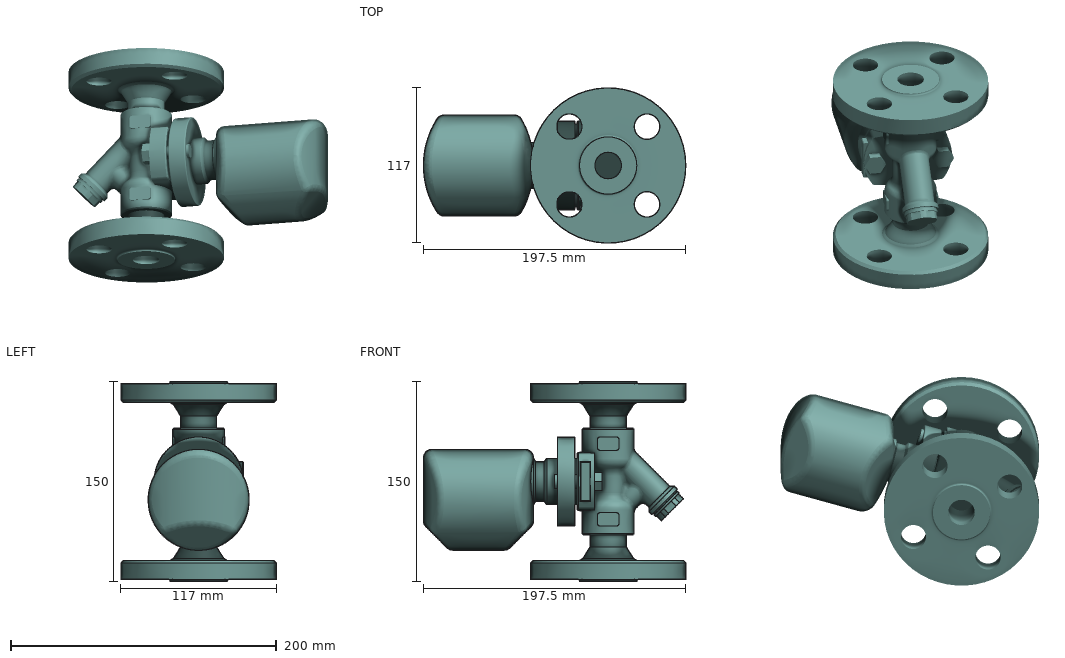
import cadquery as cq
import math


OVERALL_LENGTH = 197.5
OVERALL_HEIGHT = 150.0

FLANGE_DIA = 117.0
FLANGE_THICKNESS = 14.5
FLANGE_CHAMFER = 2.0
RAISED_FACE_DIA = 43.0
RAISED_FACE_HEIGHT = 1.4
BOLT_HOLE_DIA = 19.0
BOLT_HOLE_OFFSET = 29.2
PIPE_DIA = 27.3
WELD_NECK_DIA = 38.1
WELD_NECK_HEIGHT = 10.0
NECK_FOOT_HEIGHT = 1.4
NECK_FOOT_WIDTH = 2.4
BORE_DIA = 20.0

BODY_DIA = 39.1
BODY_HALF_HEIGHT = 40.0
BODY_CHAMFER = 1.0
WAIST_DIA = 27.0
WAIST_TOP = 4.3
WAIST_BOTTOM = -8.7
WAIST_BLEND_HEIGHT = 12.5
LABEL_WIDTH = 16.0
LABEL_HEIGHT = 9.9
LABEL_CORNER = 1.5
LABEL_FACE_Y = 19.7
LABEL_HEIGHTS = (28.5, -28.5)

BRANCH_AXIS_HEIGHT = 27.0
BRANCH_DIA = 22.3
BRANCH_CONE_START = 35.3
BRANCH_COLLAR_START = 37.7
BRANCH_COLLAR_END = 40.9
BRANCH_COLLAR_DIA = 27.3
GROOVE_END = 42.0
GROOVE_DIA = 24.0
WASHER_END = 43.8
WASHER_DIA = 25.0
PLUG_END = 49.2
PLUG_DIA = 23.5
PLUG_ACROSS_FLATS = 22.1
ELBOW_DIA = 17.8
ELBOW_AXIS_HEIGHT = -28.5
ELBOW_FILLET = 4.0
BRANCH_FILLET = 3.0
ON_SURFACE = 0.002

GLAND_X = (-23.3, -10.5)
GLAND_DIA = 67.1
GLAND_HALF_HEIGHT = 22.1
GLAND_CROWN_RADIUS = 217.2
GLAND_CORNER_FILLET = 3.0
GLAND_CHAMFER = 0.8
PAD_X = (-21.1, -13.2)
PAD_HALF_HEIGHT = 15.0
PAD_FACE_Y = -33.8
PAD_EDGE = 0.5
DISK_X = (-38.3, -25.0)
DISK_DIA = 67.0
DISK_FILLET = 0.8
HUB_X = -46.6
HUB_DIA = 35.0
STEM_DIA = 30.0
STEM_CHAMFER = 1.5
STEM_ROOT = 4.0
HUB_CHAMFER = 0.4
BONNET_BOLT_Y = 26.0
BONNET_BOLT_DIA = 10.5
BONNET_BOLT_X = -40.3
HEX_END_X = -4.5
HEX_ACROSS_FLATS = 13.8

HOUSING_DIA = 76.0
HOUSING_AXIS_Z = -13.8
HOUSING_LENGTH = 83.0
HOUSING_LEFT = FLANGE_DIA / 2 - OVERALL_LENGTH
HOUSING_RIGHT = HOUSING_LEFT + HOUSING_LENGTH
HOUSING_LEFT_RADIUS = 64.8
HOUSING_RIGHT_RADIUS = 71.0
HOUSING_BEVEL = 19.7
HOUSING_FILLET = 6.5


def x_cylinder(start, end, diameter, y=0.0, z=0.0):
    """Cylinder along X between two X positions."""
    circle = cq.Workplane("YZ", origin=(start, y, z)).circle(diameter / 2)
    return circle.extrude(end - start)


def bow_depth(radius, half_width):
    """Depth of an arc of the given radius across its chord."""
    return radius - math.sqrt(radius**2 - half_width**2)


def pipe_flange():
    """Upper flange with raised face, weld neck and pipe stub."""
    top = OVERALL_HEIGHT / 2
    face = top - RAISED_FACE_HEIGHT
    back = face - FLANGE_THICKNESS
    neck_top = back - NECK_FOOT_HEIGHT
    neck_end = back - WELD_NECK_HEIGHT
    r = FLANGE_DIA / 2
    raised = RAISED_FACE_DIA / 2
    neck = WELD_NECK_DIA / 2
    pipe = PIPE_DIA / 2
    profile = (
        cq.Workplane("XZ")
        .moveTo(0, top)
        .lineTo(raised, top)
        .radiusArc((raised + RAISED_FACE_HEIGHT, face), -RAISED_FACE_HEIGHT)
        .lineTo(r, face)
        .lineTo(r, back + FLANGE_CHAMFER)
        .lineTo(r - FLANGE_CHAMFER, back)
        .lineTo(neck + NECK_FOOT_WIDTH, back)
        .lineTo(neck, neck_top)
        .lineTo(pipe, neck_end)
        .lineTo(pipe, BODY_HALF_HEIGHT)
        .lineTo(0, BODY_HALF_HEIGHT)
        .close()
    )
    flange = profile.revolve(360, (0, 0, 0), (0, 1, 0))
    bore = cq.Workplane("XY", origin=(0, 0, BODY_HALF_HEIGHT)).circle(BORE_DIA / 2).extrude(top)
    holes = (
        cq.Workplane("XY", origin=(0, 0, back))
        .rect(2 * BOLT_HOLE_OFFSET, 2 * BOLT_HOLE_OFFSET, forConstruction=True)
        .vertices()
        .circle(BOLT_HOLE_DIA / 2)
        .extrude(top)
    )
    return flange.cut(bore).cut(holes)


def body_core():
    """Turned body with a narrow waist reached through S-shaped shoulders."""
    r = BODY_DIA / 2
    waist = WAIST_DIA / 2
    step = (r - waist) / 2
    rise = WAIST_BLEND_HEIGHT / 2
    bend = (step**2 + rise**2) / (2 * step)
    end = BODY_HALF_HEIGHT
    middle = waist + step
    return (
        cq.Workplane("XZ")
        .moveTo(0, end)
        .lineTo(r - BODY_CHAMFER, end)
        .lineTo(r, end - BODY_CHAMFER)
        .lineTo(r, WAIST_TOP + 2 * rise)
        .radiusArc((middle, WAIST_TOP + rise), bend)
        .radiusArc((waist, WAIST_TOP), -bend)
        .lineTo(waist, WAIST_BOTTOM)
        .radiusArc((middle, WAIST_BOTTOM - rise), -bend)
        .radiusArc((r, WAIST_BOTTOM - 2 * rise), bend)
        .lineTo(r, BODY_CHAMFER - end)
        .lineTo(r - BODY_CHAMFER, -end)
        .lineTo(0, -end)
        .close()
        .revolve(360, (0, 0, 0), (0, 1, 0))
        .rotate((0, 0, 0), (0, 0, 1), 180)
    )


def labels():
    """Flat rectangular label pads on both sides of the body."""
    blocks = cq.Workplane("XY")
    for height in LABEL_HEIGHTS:
        block = cq.Workplane("XY").box(LABEL_WIDTH, 2 * LABEL_FACE_Y, LABEL_HEIGHT)
        block = block.translate((0, 0, height))
        blocks = blocks.add(block.edges("|Y").fillet(LABEL_CORNER))
    return blocks.combine()


def branch_plane(distance):
    """Plane square to the strainer branch, at a distance along its axis."""
    c = math.sqrt(0.5)
    foot = BRANCH_AXIS_HEIGHT / 2
    origin = (foot + c * distance, 0, foot - c * distance)
    return cq.Plane(origin=origin, xDir=(c, 0, c), normal=(c, 0, -c))


def branch_cylinder(start, end, diameter):
    return cq.Workplane(branch_plane(start)).circle(diameter / 2).extrude(end - start)


def hex_corner_dia(across_flats):
    return across_flats / math.cos(math.pi / 6)


def strainer_branch():
    return branch_cylinder(-BODY_DIA / 2, BRANCH_COLLAR_START, BRANCH_DIA)


def elbow():
    """Short passage rising at 45 degrees from the lower body into the branch."""
    c = math.sqrt(0.5)
    length = (BRANCH_AXIS_HEIGHT - ELBOW_AXIS_HEIGHT) * c
    plane = cq.Plane(origin=(0, 0, ELBOW_AXIS_HEIGHT), xDir=(0, 1, 0), normal=(c, 0, c))
    return cq.Workplane(plane).circle(ELBOW_DIA / 2).extrude(length)


def junction_edges(solid, diameter, axis_height, rise):
    """Intersection curves lying on a 45-degree cylinder whose axis crosses the pipe axis at axis_height.

    The cylinder climbs towards +X when rise is 1 and drops when rise is -1.
    """
    found = []
    for edge in solid.edges().vals():
        if edge.geomType() in ("LINE", "CIRCLE"):
            continue
        points = [edge.positionAt(share) for share in (0, 0.3, 0.7, 1)]
        distances = [math.hypot((p.x - rise * (p.z - axis_height)) * math.sqrt(0.5), p.y) for p in points]
        if all(abs(distance - diameter / 2) < ON_SURFACE for distance in distances):
            found.append(edge)
    return solid.newObject(found)


def valve_body():
    """Body with the strainer branch and its elbow, blended where they meet."""
    body = body_core().union(strainer_branch())
    body = junction_edges(body, BRANCH_DIA, BRANCH_AXIS_HEIGHT, -1).fillet(BRANCH_FILLET)
    body = body.union(elbow())
    return junction_edges(body, ELBOW_DIA, ELBOW_AXIS_HEIGHT, 1).fillet(ELBOW_FILLET)


def strainer_cap():
    """Collar, groove, washer and hexagonal plug closing the branch."""
    cone = (
        cq.Workplane(branch_plane(BRANCH_CONE_START))
        .circle(BRANCH_DIA / 2)
        .workplane(offset=BRANCH_COLLAR_START - BRANCH_CONE_START)
        .circle(BRANCH_COLLAR_DIA / 2)
        .loft()
    )
    collar = branch_cylinder(BRANCH_COLLAR_START, BRANCH_COLLAR_END, BRANCH_COLLAR_DIA)
    groove = branch_cylinder(BRANCH_COLLAR_END, GROOVE_END, GROOVE_DIA)
    washer = branch_cylinder(GROOVE_END, WASHER_END, WASHER_DIA)
    hexagon = hex_corner_dia(PLUG_ACROSS_FLATS)
    plug = cq.Workplane(branch_plane(WASHER_END)).polygon(6, hexagon).extrude(PLUG_END - WASHER_END)
    plug = plug.intersect(branch_cylinder(WASHER_END, PLUG_END, PLUG_DIA))
    return cone.union(collar).union(groove).union(washer).union(plug)


def gland():
    """Clamping plate with crowned top and bottom, and a raised pad on its -Y end."""
    start, end = GLAND_X
    plate = x_cylinder(start, end, GLAND_DIA)
    side = GLAND_DIA / 2
    crown = GLAND_HALF_HEIGHT
    shoulder = crown - bow_depth(GLAND_CROWN_RADIUS, side)
    slab = (
        cq.Workplane("YZ", origin=(start, 0, 0))
        .moveTo(-side, shoulder)
        .threePointArc((0, crown), (side, shoulder))
        .lineTo(side, -shoulder)
        .threePointArc((0, -crown), (-side, -shoulder))
        .close()
        .extrude(end - start)
    )
    plate = plate.intersect(slab).edges("|X").edges(">Z or <Z").fillet(GLAND_CORNER_FILLET)
    plate = plate.faces("<X").chamfer(GLAND_CHAMFER)
    pad_start, pad_end = PAD_X
    pad = (
        cq.Workplane("XZ")
        .center((pad_start + pad_end) / 2, 0)
        .rect(pad_end - pad_start, 2 * PAD_HALF_HEIGHT)
        .extrude(-PAD_FACE_Y)
        .faces("<Y")
        .chamfer(PAD_EDGE)
    )
    return plate.union(pad)


def bonnet():
    """Stem, hub, disk and the two clamping bolts."""
    disk = x_cylinder(*DISK_X, DISK_DIA).edges().fillet(DISK_FILLET)
    gland_end = GLAND_X[1]
    hub = x_cylinder(HUB_X, gland_end, HUB_DIA)
    hub = hub.faces("<X").chamfer(HUB_CHAMFER)
    root = HOUSING_RIGHT
    wide = HUB_DIA / 2
    narrow = STEM_DIA / 2
    stem = (
        cq.Workplane("XY")
        .moveTo(root - STEM_ROOT, 0)
        .lineTo(root - STEM_ROOT, wide)
        .lineTo(root, wide)
        .lineTo(root + STEM_CHAMFER, narrow)
        .lineTo(HUB_X - STEM_CHAMFER, narrow)
        .lineTo(HUB_X, wide - HUB_CHAMFER)
        .lineTo(HUB_X, 0)
        .close()
        .revolve(360, (0, 0, 0), (1, 0, 0))
    )
    parts = disk.union(hub).union(stem)
    for y in (BONNET_BOLT_Y, -BONNET_BOLT_Y):
        bolt = x_cylinder(BONNET_BOLT_X, HEX_END_X, BONNET_BOLT_DIA, y)
        seat = cq.Workplane("YZ", origin=(gland_end, y, 0))
        head = seat.polygon(6, hex_corner_dia(HEX_ACROSS_FLATS)).extrude(HEX_END_X - gland_end)
        parts = parts.union(bolt).union(head)
    return parts


def housing():
    """Round actuator housing with bowed ends, bevelled underside and rounded edges."""
    left = HOUSING_LEFT
    right = HOUSING_RIGHT
    r = HOUSING_DIA / 2
    z = HOUSING_AXIS_Z
    half_width = r + 2
    left_rim = left + bow_depth(HOUSING_LEFT_RADIUS, half_width)
    right_rim = right - bow_depth(HOUSING_RIGHT_RADIUS, half_width)
    barrel = x_cylinder(left, right, HOUSING_DIA, z=z)
    bowed = (
        cq.Workplane("XY", origin=(0, 0, z - HOUSING_DIA))
        .moveTo(left_rim, -half_width)
        .threePointArc((left, 0), (left_rim, half_width))
        .lineTo(right_rim, half_width)
        .threePointArc((right, 0), (right_rim, -half_width))
        .close()
        .extrude(2 * HOUSING_DIA)
    )
    bevelled = (
        cq.Workplane("XZ")
        .moveTo(left, z + r)
        .lineTo(right, z + r)
        .lineTo(right, z - r + HOUSING_BEVEL)
        .lineTo(right - HOUSING_BEVEL, z - r)
        .lineTo(left + HOUSING_BEVEL, z - r)
        .lineTo(left, z - r + HOUSING_BEVEL)
        .close()
        .extrude(HOUSING_DIA, both=True)
    )
    return barrel.intersect(bowed).intersect(bevelled).edges("not(|X)").fillet(HOUSING_FILLET)


upper_flange = pipe_flange()
lower_flange = upper_flange.mirror("XY")
result = valve_body().union(upper_flange).union(lower_flange).union(labels()).union(strainer_cap())
result = result.union(gland()).union(bonnet()).union(housing())